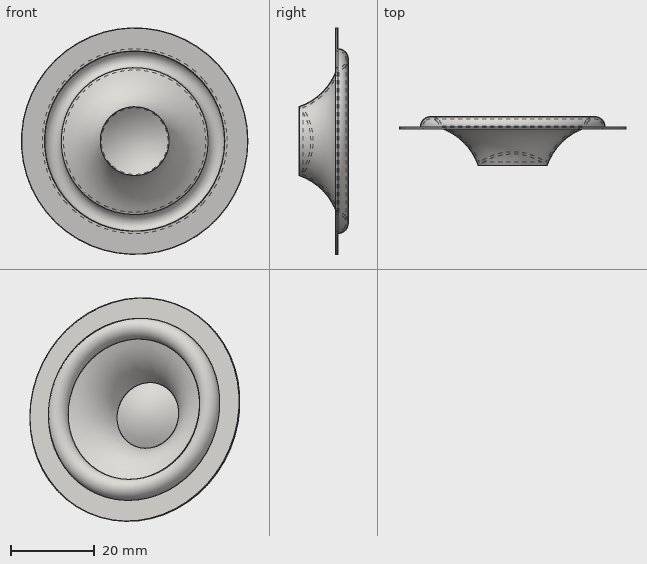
import cadquery as cq
import math

outer_radius = 27.0
wall = 0.55

roll_radius = 19.5
roll_inner = 2.0
roll_outer = roll_inner + wall
roll_center_y = 0.5

mouth_radius = 8.2
mouth_y = -8.7
flare_start_y = 0.4
flare_front = 14.3
flare_back = flare_front + wall
bowl_depth = 2.8


def circle_crossings(center_a, radius_a, center_b, radius_b):
    """Return the two points shared by two circles, smaller radius coordinate first."""
    dx = center_b[0] - center_a[0]
    dy = center_b[1] - center_a[1]
    distance = math.hypot(dx, dy)
    along = (distance**2 + radius_a**2 - radius_b**2) / (2 * distance)
    across = math.sqrt(radius_a**2 - along**2)
    base_x = center_a[0] + along * dx / distance
    base_y = center_a[1] + along * dy / distance
    offset_x = across * dy / distance
    offset_y = across * dx / distance
    return sorted([(base_x + offset_x, base_y - offset_y), (base_x - offset_x, base_y + offset_y)])


def arc_middle(center, radius, start, end):
    """Return the middle of the shorter arc between two points of a circle."""
    dx = (start[0] + end[0]) / 2 - center[0]
    dy = (start[1] + end[1]) / 2 - center[1]
    scale = radius / math.hypot(dx, dy)
    return (center[0] + dx * scale, center[1] + dy * scale)


roll_center = (roll_radius, roll_center_y)
groove_edge = (roll_radius + math.sqrt(roll_inner**2 - roll_center_y**2), 0)
roll_edge = (roll_radius + math.sqrt(roll_outer**2 - (wall - roll_center_y) ** 2), wall)
flare_start = (roll_radius - math.sqrt(roll_inner**2 - (flare_start_y - roll_center_y) ** 2), flare_start_y)
mouth_edge = (mouth_radius, mouth_y)
flare_center = circle_crossings(flare_start, flare_front, mouth_edge, flare_front)[1]
bowl_front = (mouth_radius**2 + bowl_depth**2) / (2 * bowl_depth)
bowl_back = bowl_front + wall
bowl_bottom_y = mouth_y + bowl_depth
bowl_center = (0, bowl_bottom_y - bowl_front)

bowl_corner = circle_crossings(bowl_center, bowl_back, flare_center, flare_back)[0]
roll_corner = circle_crossings(roll_center, roll_outer, flare_center, flare_back)[0]

profile = (
    cq.Workplane("XY")
    .moveTo(0, bowl_bottom_y)
    .threePointArc(arc_middle(bowl_center, bowl_front, (0, bowl_bottom_y), mouth_edge), mouth_edge)
    .threePointArc(arc_middle(flare_center, flare_front, mouth_edge, flare_start), flare_start)
    .threePointArc((roll_radius, roll_center_y + roll_inner), groove_edge)
    .lineTo(outer_radius, 0)
    .lineTo(outer_radius, wall)
    .lineTo(*roll_edge)
    .threePointArc((roll_radius, roll_center_y + roll_outer), roll_corner)
    .threePointArc(arc_middle(flare_center, flare_back, roll_corner, bowl_corner), bowl_corner)
    .threePointArc(
        arc_middle(bowl_center, bowl_back, bowl_corner, (0, bowl_bottom_y + wall)),
        (0, bowl_bottom_y + wall),
    )
    .close()
)

result = profile.revolve(360, (0, 0, 0), (0, 1, 0))